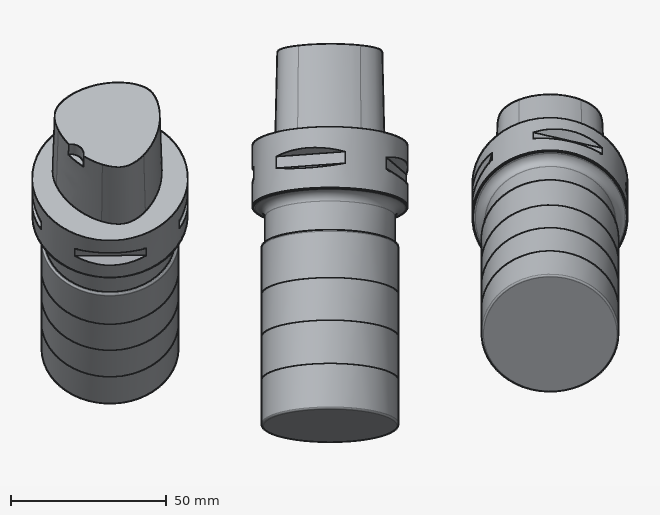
import cadquery as cq
import math

STACK_RADIUS = 22.1
STACK_EDGE_FILLET = 0.6
DISC_HEIGHTS = [15.0, 14.3, 14.1, 16.0]
STACK_HEIGHT = sum(DISC_HEIGHTS)

NECK_RADIUS = 42.0 / 2
NECK_FILLET = 3.1
COLLAR_RADIUS = 50.0 / 2
COLLAR_CHAMFER = 0.4
COLLAR_BOTTOM = 72.2
COLLAR_TOP = 92.7

SLOT_COUNT = 4
SLOT_FLOOR_DISTANCE = 22.2
SLOT_FLOOR_HEIGHT = 3.8
SLOT_FLANK_ANGLE = 27.0
SLOT_CENTRE_Z = 82.6

SHANK_TOP = 122.6
SHANK_BASE_RADIUS = 17.59
SHANK_TOP_RADIUS = 16.9
LOBE_ECCENTRICITY = 1.2
FLANK_HALF_ANGLE = 24.0
POINTS_PER_CURVE = 7

NOTCH_RADIUS = 4.0
NOTCH_CENTRE_Y = -17.8
NOTCH_DEPTH = 5.5


def lobed_point(mean_radius, angle_degrees, z):
    """Point of the three-lobed curve; angle 0 is the middle of the -Y flank."""
    angle = math.radians(angle_degrees)
    e = LOBE_ECCENTRICITY
    outward = mean_radius * math.cos(angle) - 2 * e * math.cos(2 * angle) + e * math.cos(4 * angle)
    sideways = mean_radius * math.sin(angle) + 2 * e * math.sin(2 * angle) + e * math.sin(4 * angle)
    return cq.Vector(sideways, -outward, z)


def lobed_tangent(mean_radius, angle_degrees):
    """Direction of travel along the three-lobed curve."""
    angle = math.radians(angle_degrees)
    e = LOBE_ECCENTRICITY
    outward = -mean_radius * math.sin(angle) + 4 * e * math.sin(2 * angle) - 4 * e * math.sin(4 * angle)
    sideways = mean_radius * math.cos(angle) + 4 * e * math.cos(2 * angle) + 4 * e * math.cos(4 * angle)
    return cq.Vector(sideways, -outward, 0).normalized()


def lobed_curve(mean_radius, start, end, z):
    step = (end - start) / (POINTS_PER_CURVE - 1)
    points = [lobed_point(mean_radius, start + i * step, z) for i in range(POINTS_PER_CURVE)]
    tangents = [lobed_tangent(mean_radius, start), lobed_tangent(mean_radius, end)]
    return cq.Edge.makeSpline(points, tangents=tangents)


def lobed_wire(mean_radius, z):
    """Closed outline of three flanks alternating with three lobes."""
    curves = []
    for flank_middle in (0, 120, 240):
        flank_start = flank_middle - FLANK_HALF_ANGLE
        flank_end = flank_middle + FLANK_HALF_ANGLE
        curves.append(lobed_curve(mean_radius, flank_start, flank_end, z))
        curves.append(lobed_curve(mean_radius, flank_end, flank_start + 120, z))
    return cq.Wire.assembleEdges(curves)


def make_shank():
    base = lobed_wire(SHANK_BASE_RADIUS, COLLAR_TOP)
    top = lobed_wire(SHANK_TOP_RADIUS, SHANK_TOP)
    shank = cq.Workplane(cq.Solid.makeLoft([base, top], True))
    notch = (
        cq.Workplane("XY", origin=(0, NOTCH_CENTRE_Y, SHANK_TOP - NOTCH_DEPTH))
        .circle(NOTCH_RADIUS)
        .extrude(NOTCH_DEPTH)
    )
    return shank.cut(notch)


def make_collar_and_neck():
    """Revolved collar with a chamfered lower edge, blending into the neck."""
    arc_middle_offset = NECK_FILLET * (1 - math.sqrt(0.5))
    return (
        cq.Workplane("XZ")
        .moveTo(0, STACK_HEIGHT)
        .lineTo(NECK_RADIUS, STACK_HEIGHT)
        .lineTo(NECK_RADIUS, COLLAR_BOTTOM - NECK_FILLET)
        .threePointArc(
            (NECK_RADIUS + arc_middle_offset, COLLAR_BOTTOM - arc_middle_offset),
            (NECK_RADIUS + NECK_FILLET, COLLAR_BOTTOM),
        )
        .lineTo(COLLAR_RADIUS - COLLAR_CHAMFER, COLLAR_BOTTOM)
        .lineTo(COLLAR_RADIUS, COLLAR_BOTTOM + COLLAR_CHAMFER)
        .lineTo(COLLAR_RADIUS, COLLAR_TOP)
        .lineTo(0, COLLAR_TOP)
        .close()
        .revolve(360, (0, 0), (0, 1))
    )


def make_slot_cutter(angle):
    """Straight trapezoidal bar that cuts one gripper slot."""
    half_floor = SLOT_FLOOR_HEIGHT / 2
    half_mouth = half_floor + (COLLAR_RADIUS - SLOT_FLOOR_DISTANCE) * math.tan(math.radians(SLOT_FLANK_ANGLE))
    return (
        cq.Workplane("XZ", origin=(0, 0, SLOT_CENTRE_Z))
        .polyline([
            (SLOT_FLOOR_DISTANCE, -half_floor),
            (COLLAR_RADIUS, -half_mouth),
            (COLLAR_RADIUS, half_mouth),
            (SLOT_FLOOR_DISTANCE, half_floor),
        ])
        .close()
        .extrude(COLLAR_RADIUS, both=True)
        .rotate((0, 0, 0), (0, 0, 1), angle)
    )


def make_holder():
    body = make_collar_and_neck().union(make_shank())
    slot_spacing = 360 / SLOT_COUNT
    for i in range(SLOT_COUNT):
        body = body.cut(make_slot_cutter((i + 0.5) * slot_spacing))
    return body


def make_disc(bottom, height):
    return cq.Workplane("XY", origin=(0, 0, bottom)).circle(STACK_RADIUS).extrude(height)


def make_discs():
    """Discs from the bottom up, with the stack's two outer end edges rounded."""
    discs = []
    bottom = 0
    for height in DISC_HEIGHTS:
        discs.append(make_disc(bottom, height))
        bottom += height
    discs[0] = discs[0].faces("<Z").edges().fillet(STACK_EDGE_FILLET)
    discs[-1] = discs[-1].faces(">Z").edges().fillet(STACK_EDGE_FILLET)
    return discs


holder = make_holder()
discs = make_discs()
result = cq.Compound.makeCompound([holder.val(), *[disc.val() for disc in discs]])